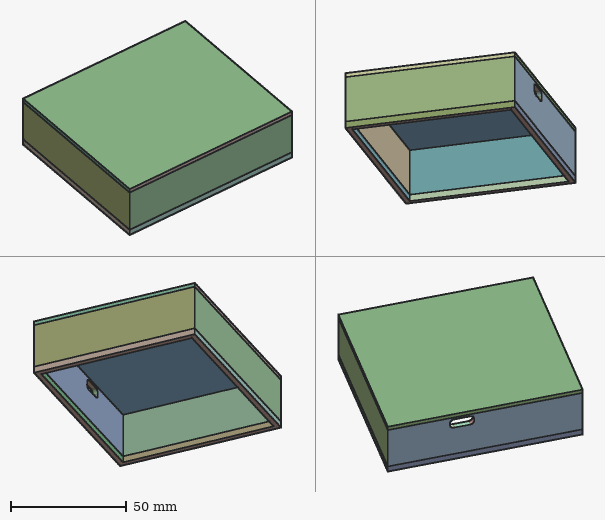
import cadquery as cq

LENGTH_X = 77.1
LENGTH_Y = 88.0
HEIGHT = 25.9

LID_THICKNESS = 1.9
BASE_HEIGHT = 3.0
WALL_HEIGHT = HEIGHT - LID_THICKNESS - BASE_HEIGHT
WALL_THICKNESS = 2.5

SLOT_WIDTH = 10.9
SLOT_HEIGHT = 4.7
SLOT_RADIUS = 1.85
SLOT_Y = 10.5
SLOT_Z = 20.4


def make_ring(bottom_z, height):
    """Rectangular frame, open at the top and bottom."""
    return (
        cq.Workplane("XY")
        .workplane(offset=bottom_z)
        .rect(LENGTH_X, LENGTH_Y)
        .rect(LENGTH_X - 2 * WALL_THICKNESS, LENGTH_Y - 2 * WALL_THICKNESS)
        .extrude(height)
    )


def make_slot_cutter():
    """Rounded bar that passes through the -X wall only."""
    return (
        cq.Workplane("XY")
        .box(2 * WALL_THICKNESS, SLOT_WIDTH, SLOT_HEIGHT)
        .edges("|X")
        .fillet(SLOT_RADIUS)
        .translate((-(LENGTH_X - WALL_THICKNESS) / 2, SLOT_Y, SLOT_Z))
    )


def make_base_frame():
    """Open frame under the walls."""
    return make_ring(0, BASE_HEIGHT)


def make_walls():
    """Four joined side walls with the connector slot."""
    return make_ring(BASE_HEIGHT, WALL_HEIGHT).cut(make_slot_cutter())


def make_lid():
    """Flat plate that closes the top of the walls."""
    return (
        cq.Workplane("XY")
        .box(LENGTH_X, LENGTH_Y, LID_THICKNESS)
        .translate((0, 0, HEIGHT - LID_THICKNESS / 2))
    )


base_frame = make_base_frame()
walls = make_walls()
lid = make_lid()

result = cq.Compound.makeCompound([base_frame.val(), walls.val(), lid.val()])